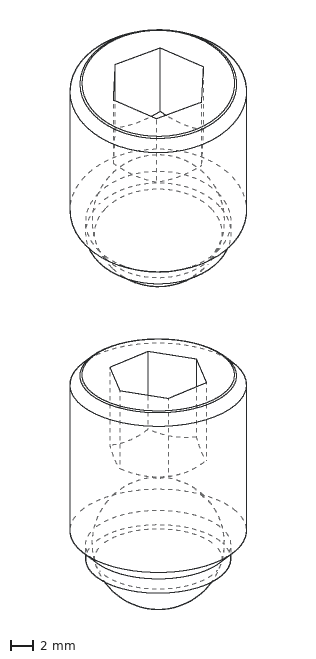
import cadquery as cq
import math

total_height = 23.3

body_diameter = 16.0
top_chamfer = 1.0
rim_height = 0.1
rim_width = 0.19
bottom_chamfer = 1.42
collar_diameter = body_diameter - 2 * bottom_chamfer
collar_height = 1.47
collar_bottom = 4.4

socket_across_flats = 8.0
socket_depth = socket_across_flats
socket_point_angle = 120.0

ball_diameter = 12.0

body_radius = body_diameter / 2
collar_radius = collar_diameter / 2
ball_radius = ball_diameter / 2


def make_ball():
    """Full sphere whose lowest point is at Z = 0."""
    return cq.Workplane("XY").sphere(ball_radius).translate((0, 0, ball_radius))


def make_socket():
    """Hexagonal prism, corners along X, ending in a cone through its corners."""
    corner_diameter = socket_across_flats / math.cos(math.pi / 6)
    corner_radius = corner_diameter / 2
    floor_height = total_height - socket_depth
    half_point_angle = math.radians(socket_point_angle / 2)
    cone_depth = corner_radius / math.tan(half_point_angle)
    prism = (
        cq.Workplane("XY")
        .workplane(offset=floor_height)
        .polygon(6, corner_diameter)
        .extrude(socket_depth)
    )
    cone = cq.Workplane(
        cq.Solid.makeCone(0, corner_radius, cone_depth, pnt=cq.Vector(0, 0, floor_height - cone_depth))
    )
    hexagon = (
        cq.Workplane("XY")
        .workplane(offset=floor_height - cone_depth)
        .polygon(6, corner_diameter)
        .extrude(cone_depth)
    )
    return prism.union(cone.intersect(hexagon))


def make_screw_body(ball):
    """Turned body with bevelled ends and collar, cut by the socket and the ball seat."""
    collar_top = collar_bottom + collar_height
    shoulder_height = collar_top + bottom_chamfer
    bevel_bottom = total_height - top_chamfer
    rim_bottom = total_height - rim_height
    rim_radius = body_radius - (top_chamfer - rim_height)
    blank = (
        cq.Workplane("XZ")
        .moveTo(0, collar_bottom)
        .lineTo(collar_radius, collar_bottom)
        .lineTo(collar_radius, collar_top)
        .lineTo(body_radius, shoulder_height)
        .lineTo(body_radius, bevel_bottom)
        .lineTo(rim_radius, rim_bottom)
        .lineTo(rim_radius - rim_width, total_height)
        .lineTo(0, total_height)
        .close()
        .revolve(360, (0, 0, 0), (0, 1, 0))
    )
    return blank.cut(make_socket()).cut(ball)


ball = make_ball()
screw_body = make_screw_body(ball)

result = cq.Compound.makeCompound([screw_body.val(), ball.val()])